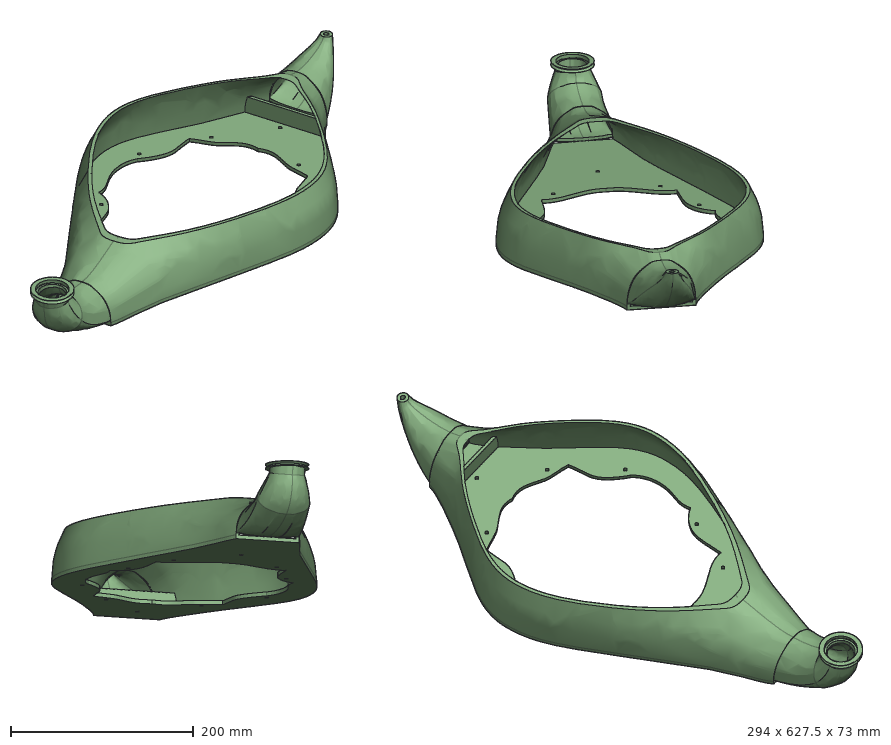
import cadquery as cq
import math

wall = 4.0
floor_thickness = 4.5
rim_height = 60.0

hull_stations = [
    (207.5, 38.0, 56.5),
    (188.0, 47.0, 62.0),
    (164.5, 62.0, 76.5),
    (130.0, 86.5, 110.0),
    (73.5, 130.0, 130.5),
    (44.0, 143.5, 130.5),
    (15.5, 147.0, 128.5),
    (-17.0, 142.0, 123.0),
    (-62.0, 124.0, 111.5),
    (-130.0, 91.5, 84.5),
    (-175.5, 69.0, 66.0),
    (-226.0, 49.0, 49.5),
    (-260.0, 36.5, 46.0),
]
bow_y = hull_stations[0][0]
stern_y = hull_stations[-1][0]
hull_length = bow_y - stern_y

horn_sections = [
    ((bow_y, floor_thickness), (bow_y, 56.5), 38.0, 0.08),
    ((229.0, 10.0), (223.0, 56.0), 32.0, 0.25),
    ((251.0, 26.0), (240.0, 58.0), 24.0, 0.4),
    ((268.5, 44.5), (256.0, 62.0), 14.5, 0.5),
    ((278.5, 69.5), (266.0, 69.5), 7.0, 0.5),
]
tail_sections = [
    ((stern_y, floor_thickness), (stern_y, 45.0), 36.5, 0.08),
    ((-291.5, 6.0), (-282.0, 48.0), 32.5, 0.25),
    ((-323.0, 18.0), (-302.0, 56.0), 30.0, 0.45),
]

mouth_y = -325.0
neck_radius = 19.5
neck_base = ((-342.5, 58.5), (-307.0, 66.5), neck_radius, 0.5)
elbow_sections = [
    tail_sections[-1],
    ((-339.0, 36.5), (-305.0, 61.5), 25.0, 0.5),
    neck_base,
]
flange_radius = 24.0
flange_bottom = 68.5
flange_top = 73.0
flange_groove_depth = 2.5
mouth_radius = 18.0
neck_sections = [
    neck_base,
    ((mouth_y - neck_radius, flange_bottom), (mouth_y + neck_radius, flange_bottom), neck_radius, 0.5),
]

bow_corner = (74.5, 102.0)
shoulder_corner = (103.5, 39.0)
side_corner = (106.0, -41.0)
stern_corner = (75.0, -105.5)
opening_curves = [
    [(0, 123.0), (28.0, 120.0), (45.0, 110.5), (64.0, 105.5), bow_corner],
    [bow_corner, (76.5, 84.0), (78.5, 71.0), (84.0, 59.5), shoulder_corner],
    [shoulder_corner, (113.5, 15.0), (111.5, -9.0), (106.5, -23.0), side_corner],
    [side_corner, (90.5, -50.0), (80.0, -64.0), (76.5, -82.0), stern_corner],
    [stern_corner, (53.0, -108.5), (32.5, -117.0), (0, -124.0)],
]

screw_hole_radius = 2.0
centre_screws = [(0, 171.0), (0, -173.0)]
paired_screws = [(55.0, 116.5), (106.5, 48.0), (91.5, -60.0), (59.5, -120.0)]

bulkhead_y = 180.5
bulkhead_height = 21.0
bulkhead_thickness = 4.0

arc_steps = 4


def quarter_ellipse(centre, up, half_width, height):
    """Ellipse quarter in the plane of X and the unit vector `up`, from the +X side to the end of `up`."""
    points = []
    for step in range(arc_steps + 1):
        angle = math.pi / 2 * step / arc_steps
        across = cq.Vector(half_width * math.cos(angle), 0, 0)
        points.append(centre + across + up * (height * math.sin(angle)))
    return cq.Edge.makeSpline(points, tangents=[up, cq.Vector(-1, 0, 0)])


def both_sides(right_half):
    return right_half.union(right_half.mirror("YZ"))


def arch_wire(y, half_width, height):
    """Right half of an arch standing on the floor plate."""
    foot = cq.Vector(0, y, floor_thickness)
    arch = quarter_ellipse(foot, cq.Vector(0, 0, 1), half_width, height)
    middle = cq.Edge.makeLine(arch.endPoint(), foot)
    base = cq.Edge.makeLine(foot, arch.startPoint())
    return cq.Wire.assembleEdges([arch, middle, base])


def egg_wire(bottom, top, half_width, widest_share, inset):
    """Right half of an egg section: two ellipse quarters that meet at the widest level."""
    low = cq.Vector(0, *bottom)
    high = cq.Vector(0, *top)
    up = (high - low).normalized()
    height = (high - low).Length - 2 * inset
    centre = low + up * (inset + widest_share * height)
    width = half_width - inset
    upper = quarter_ellipse(centre, up, width, height * (1 - widest_share))
    lower = quarter_ellipse(centre, -up, width, height * widest_share)
    middle = cq.Edge.makeLine(upper.endPoint(), lower.endPoint())
    return cq.Wire.assembleEdges([upper, middle, lower])


def arches(inset):
    """Right half of the uncut hull above the floor plate."""
    wires = [
        arch_wire(y, width - inset, height - floor_thickness - inset)
        for y, width, height in hull_stations
    ]
    return cq.Workplane(cq.Solid.makeLoft(wires))


def floor_plate():
    """Right half of the plate under the arches, with their footprint as its outline."""
    footprint = arches(0).faces("<Z").val()
    return cq.Workplane(cq.Solid.extrudeLinear(footprint, cq.Vector(0, 0, -floor_thickness)))


def tube(sections, inset):
    wires = [egg_wire(*section, inset) for section in sections]
    return both_sides(cq.Workplane(cq.Solid.makeLoft(wires)))


def hollow_tube(sections):
    return tube(sections, 0).cut(tube(sections, wall))


def flange():
    """Mouth ring with a V groove around its rim."""
    groove_z = (flange_bottom + flange_top) / 2
    profile = [
        (0, flange_bottom),
        (flange_radius, flange_bottom),
        (flange_radius - flange_groove_depth, groove_z),
        (flange_radius, flange_top),
        (0, flange_top),
    ]
    return (
        cq.Workplane("XZ")
        .polyline(profile)
        .close()
        .revolve(360, (0, 0), (0, 1))
        .translate((0, mouth_y, 0))
    )


def mouth_bore():
    return (
        cq.Workplane("XY", origin=(0, mouth_y, flange_bottom))
        .circle(mouth_radius)
        .extrude(flange_top - flange_bottom)
    )


def driver_opening():
    outline = cq.Workplane("XY").moveTo(*opening_curves[0][0])
    for curve in opening_curves:
        outline = outline.spline(curve[1:], includeCurrent=True)
    return both_sides(outline.close().extrude(floor_thickness))


def screw_holes():
    places = centre_screws + [(side * x, y) for x, y in paired_screws for side in (-1, 1)]
    return (
        cq.Workplane("XY")
        .pushPoints(places)
        .circle(screw_hole_radius)
        .extrude(floor_thickness)
    )


def bulkhead():
    """Low wall across the bow end, fitted between the hull walls."""
    across = (
        cq.Workplane("XY", origin=(0, bulkhead_y, floor_thickness))
        .rect(hull_length, bulkhead_thickness)
        .extrude(bulkhead_height)
    )
    return across.intersect(both_sides(arches(wall / 2)))


def above_rim():
    """Block that trims the arches level with the rim."""
    return (
        cq.Workplane("XY", origin=(0, (bow_y + stern_y) / 2, rim_height))
        .rect(hull_length, hull_length)
        .extrude(hull_length)
    )


hull_shell = arches(0).cut(arches(wall))
result = both_sides(hull_shell.union(floor_plate()))
for sections in (horn_sections, tail_sections, elbow_sections, neck_sections):
    result = result.union(hollow_tube(sections))
result = (
    result
    .union(flange())
    .union(bulkhead())
    .cut(mouth_bore())
    .cut(driver_opening())
    .cut(screw_holes())
    .cut(above_rim())
)